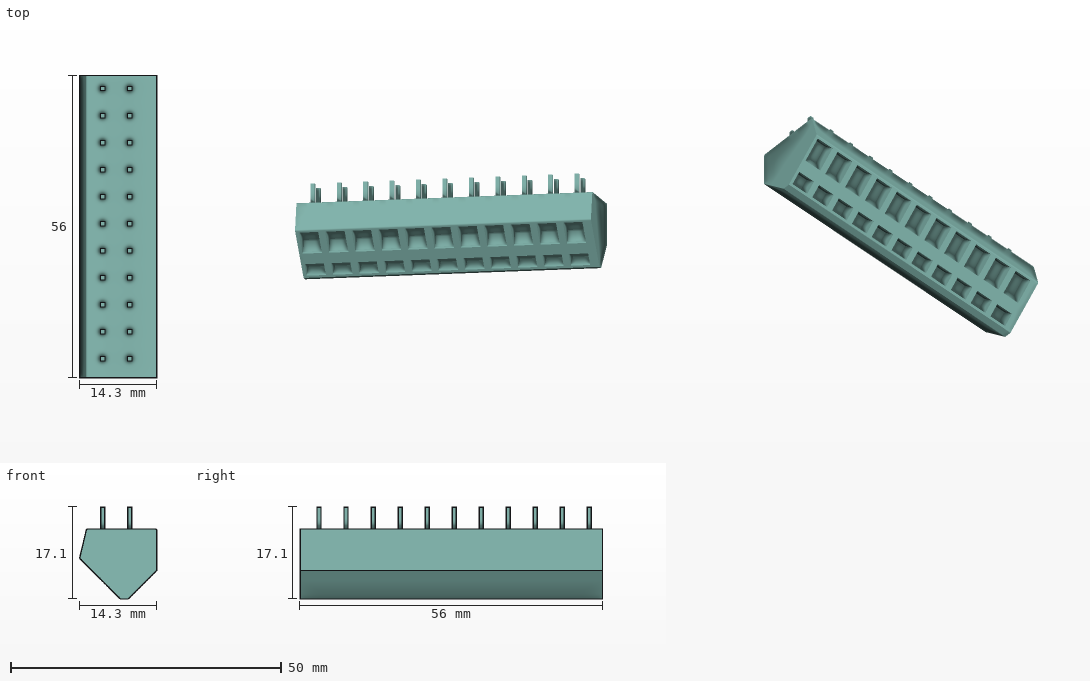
import cadquery as cq
import math

body_length = 56.0
body_width = 14.35
body_height = 13.0
top_left_inset = 1.3
right_side_bottom = 5.3
left_corner_height = 7.55
corner_radius = 0.35

pole_count = 11
pole_row_length = 50.0
pole_pitch = pole_row_length / (pole_count - 1)
first_pole_inset = 2.45
pin_columns = (4.3, 9.3)
pin_size = 0.8
pin_length = 4.05

pocket_width = 3.7
pocket_depth = 2.9
upper_pocket_top = 7.2
upper_pocket_bottom = 3.85
lower_pocket_top = 2.2
lower_pocket_bottom = 0.35

ramp_start = 0.7
ramp_end = 2.45
ramp_rise = 1.05

pole_positions = [body_length / 2 - first_pole_inset - i * pole_pitch for i in range(pole_count)]


def make_housing():
    left_corner = (0, left_corner_height)
    top_right_corner = (body_width, body_height)
    top_left_corner = (top_left_inset, body_height)
    outline = [
        left_corner,
        (left_corner_height, 0),
        (body_width - right_side_bottom, 0),
        (body_width, right_side_bottom),
        top_right_corner,
        top_left_corner,
    ]
    bar = cq.Workplane("XZ").polyline(outline).close().extrude(body_length / 2, both=True)
    for x, z in (left_corner, top_right_corner, top_left_corner):
        edge = cq.selectors.NearestToPointSelector((x, 0, z))
        bar = bar.edges("|Y").edges(edge).fillet(corner_radius)
    return bar


def slope_point(depth, along):
    """X and Z of a point at a depth below the left slope and a distance up it from the ridge."""
    x = left_corner_height + (depth - along) / math.sqrt(2)
    z = (depth + along) / math.sqrt(2)
    return (x, z)


def make_pocket(profile, y):
    """Pocket of standard width centred on y, from (depth, along) profile points."""
    points = [slope_point(depth, along) for depth, along in profile]
    plane = cq.Workplane("XZ", origin=(0, y, 0))
    return plane.polyline(points).close().extrude(pocket_width / 2, both=True)


def upper_pocket_profile():
    bottom = upper_pocket_bottom * math.sqrt(2)
    top = upper_pocket_top * math.sqrt(2)
    return [
        (0, bottom),
        (ramp_start, bottom),
        (ramp_end, bottom + ramp_rise),
        (pocket_depth, bottom + ramp_rise),
        (pocket_depth, top),
        (0, top),
    ]


def lower_pocket_profile():
    bottom = lower_pocket_bottom * math.sqrt(2)
    top = lower_pocket_top * math.sqrt(2)
    return [(0, bottom), (pocket_depth, bottom), (pocket_depth, top), (0, top)]


result = make_housing()

for profile in (upper_pocket_profile(), lower_pocket_profile()):
    for y in pole_positions:
        result = result.cut(make_pocket(profile, y))

pin_positions = [(x, y) for x in pin_columns for y in pole_positions]
pins = (
    cq.Workplane("XY", origin=(0, 0, body_height))
    .pushPoints(pin_positions)
    .rect(pin_size, pin_size)
    .extrude(pin_length)
)
result = result.union(pins)